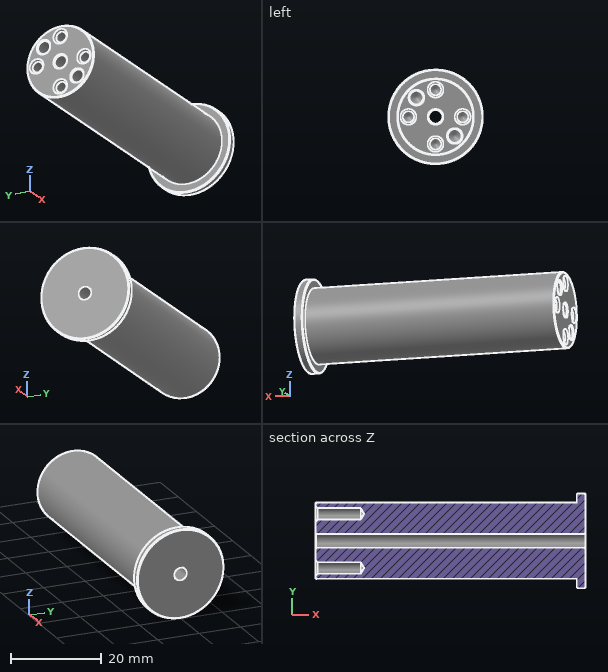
import cadquery as cq
import math

total_length = 59.8
shank_diameter = 17.0
flange_diameter = 21.0
flange_thickness = 2.0
edge_chamfer = 0.2

mouth_diameter = 3.5
mouth_chamfer_angle = 45.0
bore_diameter = 3.0
tapped_diameter = 2.5
hole_circle_radius = 6.0
hole_depth = 10.0
drill_point_angle = 118.0
tapped_hole_angles = (0, 90, 180, 270)
plain_hole_angles = (45, 225)


def cylinder(diameter, start, length):
    """Cylinder along +X, centred on the axis."""
    return cq.Workplane("YZ").workplane(offset=start).circle(diameter / 2).extrude(length)


def make_body():
    """Shank with a flange at the +X end, outer edges chamfered."""
    shank = cylinder(shank_diameter, 0, total_length).faces("<X").chamfer(edge_chamfer)
    flange = cylinder(flange_diameter, total_length - flange_thickness, flange_thickness)
    return shank.union(flange.edges().chamfer(edge_chamfer))


def blind_hole(diameter, angle):
    """Drilled hole with a mouth chamfer and a conical bottom, at an angle from +Y towards +Z."""
    radius = diameter / 2
    mouth_radius = mouth_diameter / 2
    mouth_depth = (mouth_radius - radius) / math.tan(math.radians(mouth_chamfer_angle))
    point_length = radius / math.tan(math.radians(drill_point_angle / 2))
    cutter = (
        cq.Workplane("XY")
        .lineTo(0, mouth_radius)
        .lineTo(mouth_depth, radius)
        .lineTo(hole_depth, radius)
        .lineTo(hole_depth + point_length, 0)
        .close()
        .revolve(360, (0, 0, 0), (1, 0, 0))
    )
    return cutter.translate((0, hole_circle_radius, 0)).rotate((0, 0, 0), (1, 0, 0), angle)


def through_bore():
    """Central bore, chamfered where it opens at the shank end."""
    mouth_depth = (mouth_diameter - bore_diameter) / 2 / math.tan(math.radians(mouth_chamfer_angle))
    bore = cylinder(bore_diameter, 0, total_length)
    mouth = cq.Workplane("YZ").circle(mouth_diameter / 2).extrude(mouth_depth, taper=mouth_chamfer_angle)
    return bore.union(mouth)


result = make_body().cut(through_bore())
for hole_angle in tapped_hole_angles:
    result = result.cut(blind_hole(tapped_diameter, hole_angle))
for hole_angle in plain_hole_angles:
    result = result.cut(blind_hole(bore_diameter, hole_angle))